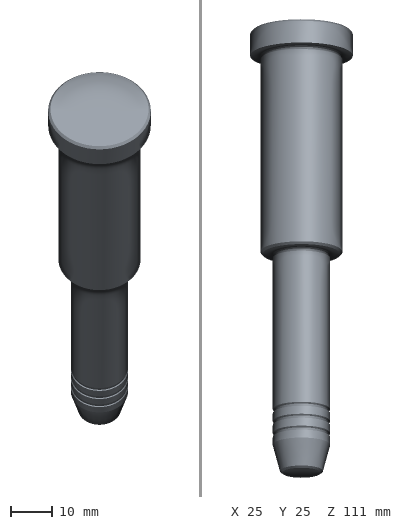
import cadquery as cq
import math

total_length = 111.0
head_height = 6.0
body_length = 50.0
taper_length = 7.0
taper_angle = 15.0

head_diameter = 25.0
head_radius = head_diameter / 2
body_radius = 10.0
pin_radius = 7.0

head_chamfer = 0.5
body_chamfer = 0.5
tip_chamfer = 0.4

neck_width = 1.0
neck_depth = 0.3

groove_count = 3
groove_pitch = 3.0
groove_width = 1.0
groove_depth = 0.3
lowest_groove_bottom = 9.0

head_bottom = total_length - head_height
body_bottom = head_bottom - body_length
tip_radius = pin_radius - taper_length * math.tan(math.radians(taper_angle))


def cylinder(radius, bottom, top):
    return cq.Workplane("XY").workplane(offset=bottom).circle(radius).extrude(top - bottom)


def cut_ring(outer_radius, depth, bottom, width, lower_slope=0):
    """Ring to subtract: flat floor, 45-degree upper wall, lower wall rising by lower_slope."""
    floor_radius = outer_radius - depth
    top = bottom + width
    return (
        cq.Workplane("XZ")
        .moveTo(outer_radius, bottom)
        .lineTo(floor_radius, bottom + lower_slope)
        .lineTo(floor_radius, top - depth)
        .lineTo(outer_radius, top)
        .close()
        .revolve(360, (0, 0, 0), (0, 1, 0))
    )


def make_head():
    return cylinder(head_radius, head_bottom, total_length).faces(">Z").chamfer(head_chamfer)


def make_body():
    body = cylinder(body_radius, body_bottom, head_bottom).faces("<Z").chamfer(body_chamfer)
    neck_bottom = head_bottom - neck_width
    return body.cut(cut_ring(body_radius, neck_depth, neck_bottom, neck_width, lower_slope=neck_depth))


def make_pin():
    pin = cylinder(pin_radius, taper_length, body_bottom)
    pin = pin.cut(cut_ring(pin_radius, neck_depth, body_bottom - neck_width, neck_width))
    for index in range(groove_count):
        groove_bottom = lowest_groove_bottom + index * groove_pitch
        pin = pin.cut(cut_ring(pin_radius, groove_depth, groove_bottom, groove_width))
    return pin


def make_tip():
    tip = (
        cq.Workplane("XY")
        .circle(tip_radius)
        .workplane(offset=taper_length)
        .circle(pin_radius)
        .loft(ruled=True)
    )
    return tip.faces("<Z").chamfer(tip_chamfer)


result = make_head().union(make_body()).union(make_pin()).union(make_tip())